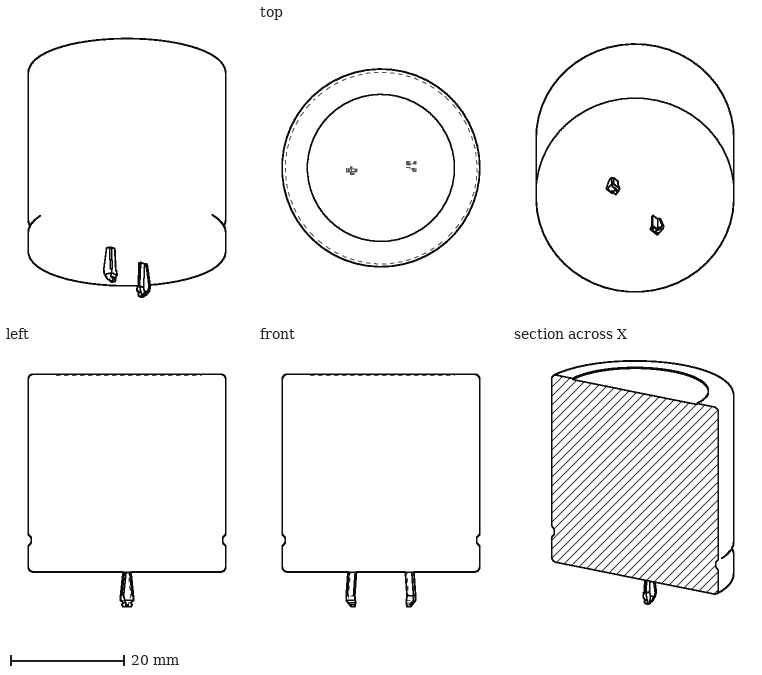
import cadquery as cq
import math

can_diameter = 35.0
can_height = 35.0
edge_radius = 1.0
sleeve_thickness = 0.2
window_diameter = 26.0

groove_diameter = 33.9
groove_center_z = 5.63
groove_floor_width = 0.56
groove_mouth_width = 2.6
groove_lip_radius = 0.7

stripe_half_angle = 12.8

pin_length = 6.14
pin_embed = 1.0
pin_inner_x = 4.3
pin_width = 1.55
pin_lean = 0.3
knee_z = -4.2
knee_end_z = -5.0
neck_z = -5.4
lip_z = -5.8
tip_inner_x = 4.6
tip_width = 0.65
pin_web_thickness = 0.4
pin_chamfer = 0.25
leg_root_y = 0.72
leg_knee_y = 1.15
leg_lip_y = 0.9
slot_root_y = 0.15
slot_knee_y = 0.6

can_radius = can_diameter / 2
window_radius = window_diameter / 2
z_axis = ((0, 0, 0), (0, 0, 1))


def arc_point(center_x, center_z, radius, angle):
    """Point on a circle at an angle in degrees from +X."""
    turn = math.radians(angle)
    return (center_x + radius * math.cos(turn), center_z + radius * math.sin(turn))


def can_ring(angle):
    """Outer ring of the can, from the window edge outward, turned through an angle from the +X axis."""
    rim_x = can_radius - edge_radius
    floor_x = groove_diameter / 2
    floor_half = groove_floor_width / 2
    mouth_half = groove_mouth_width / 2

    flank_height = mouth_half - floor_half
    flank_angle = 2 * math.degrees(math.atan((can_radius - floor_x) / flank_height))
    root_radius = flank_height / math.sin(math.radians(flank_angle)) - groove_lip_radius
    lip_x = can_radius - groove_lip_radius
    root_x = floor_x + root_radius

    low_mouth = groove_center_z - mouth_half
    low_floor = groove_center_z - floor_half
    low_lip_mid = arc_point(lip_x, low_mouth, groove_lip_radius, flank_angle / 2)
    low_join = arc_point(lip_x, low_mouth, groove_lip_radius, flank_angle)
    low_root_mid = arc_point(root_x, low_floor, root_radius, 180 + flank_angle / 2)

    high_mouth = groove_center_z + mouth_half
    high_floor = groove_center_z + floor_half
    high_lip_mid = arc_point(lip_x, high_mouth, groove_lip_radius, -flank_angle / 2)
    high_join = arc_point(lip_x, high_mouth, groove_lip_radius, -flank_angle)
    high_root_mid = arc_point(root_x, high_floor, root_radius, 180 - flank_angle / 2)

    return (
        cq.Workplane("XZ")
        .moveTo(window_radius, 0)
        .lineTo(rim_x, 0)
        .threePointArc(arc_point(rim_x, edge_radius, edge_radius, -45), (can_radius, edge_radius))
        .lineTo(can_radius, low_mouth)
        .threePointArc(low_lip_mid, low_join)
        .threePointArc(low_root_mid, (floor_x, low_floor))
        .lineTo(floor_x, high_floor)
        .threePointArc(high_root_mid, high_join)
        .threePointArc(high_lip_mid, (can_radius, high_mouth))
        .lineTo(can_radius, can_height - edge_radius)
        .threePointArc(
            arc_point(rim_x, can_height - edge_radius, edge_radius, 45), (rim_x, can_height)
        )
        .lineTo(window_radius, can_height)
        .close()
        .revolve(angle, (0, 0, 0), (0, 1, 0))
    )


def make_can():
    """Can whose flush polarity stripe keeps its own faces."""
    stripe_angle = 2 * stripe_half_angle
    core = cq.Workplane("XY").circle(window_radius).extrude(can_height - sleeve_thickness)
    plain_ring = can_ring(360 - stripe_angle).rotate(*z_axis, stripe_half_angle)
    stripe = can_ring(stripe_angle).rotate(*z_axis, -stripe_half_angle)
    return core.union(plain_ring).union(stripe, clean=False)


def pin_leg():
    """Leg on the +Y side of the pin, flared to the knee and necked above its tip."""
    return (
        cq.Workplane("YZ")
        .polyline([
            (slot_root_y, pin_embed),
            (leg_root_y, pin_embed),
            (leg_root_y, 0),
            (leg_knee_y, knee_z),
            (leg_knee_y, knee_end_z),
            (leg_root_y, neck_z),
            (leg_lip_y, lip_z),
            (leg_root_y, -pin_length),
            (slot_root_y, -pin_length),
            (slot_root_y, lip_z),
            (slot_knee_y, knee_z),
            (slot_root_y, 0),
        ])
        .close()
        .extrude(can_radius)
    )


def pin_web():
    """Sheet bent off the leg, before trimming to the outer side of the pin."""
    return (
        cq.Workplane("YZ")
        .polyline([
            (-slot_root_y, pin_embed),
            (slot_root_y, pin_embed),
            (slot_root_y, 0),
            (slot_knee_y, knee_z),
            (slot_root_y, lip_z),
            (-slot_root_y, lip_z),
            (-slot_knee_y, knee_z),
            (-slot_root_y, 0),
        ])
        .close()
        .extrude(can_radius)
    )


def side_slab(outline):
    """Slab with an outline in the XZ plane, deep enough to span the whole pin."""
    return cq.Workplane("XZ").polyline(outline).close().extrude(leg_knee_y, both=True)


def bevel_wedge(root_x, inward):
    """Wedge that bevels one corner of the leg from root to knee; inward is +1 or -1 along X."""

    def triangle(corner_x, corner_y):
        """Triangle around a leg corner whose long side lies on the bevel."""
        outside_x = corner_x - inward * pin_chamfer
        outside_y = corner_y + pin_chamfer
        return [
            (outside_x, outside_y),
            (corner_x + inward * 2 * pin_chamfer, outside_y),
            (outside_x, corner_y - 2 * pin_chamfer),
        ]

    return (
        cq.Workplane("XY")
        .polyline(triangle(root_x, leg_root_y))
        .close()
        .workplane(offset=knee_z)
        .polyline(triangle(root_x + pin_lean, leg_knee_y))
        .close()
        .loft(ruled=True)
    )


def make_pin():
    """Angle-section snap-in pin on the +X side, with its leg toward +Y."""
    root_outer_x = pin_inner_x + pin_width
    knee_outer_x = root_outer_x + pin_lean
    tip_outer_x = tip_inner_x + tip_width
    outer_edge = [
        (root_outer_x, pin_embed),
        (root_outer_x, 0),
        (knee_outer_x, knee_z),
        (knee_outer_x, knee_end_z),
        (tip_outer_x, -pin_length),
    ]
    inner_edge = [
        (tip_inner_x, -pin_length),
        (pin_inner_x + pin_lean / 2, neck_z),
        (pin_inner_x + pin_lean, knee_z),
        (pin_inner_x, 0),
        (pin_inner_x, pin_embed),
    ]
    web_edge = [(x - pin_web_thickness, z) for x, z in reversed(outer_edge)]

    leg = pin_leg().intersect(side_slab(outer_edge + inner_edge))
    leg = leg.cut(bevel_wedge(pin_inner_x, 1)).cut(bevel_wedge(root_outer_x, -1))
    web = pin_web().intersect(side_slab(outer_edge + web_edge))
    return leg.union(web)


pin = make_pin()
opposite_pin = pin.rotate(*z_axis, 180)
result = make_can().union(pin, clean=False).union(opposite_pin, clean=False)